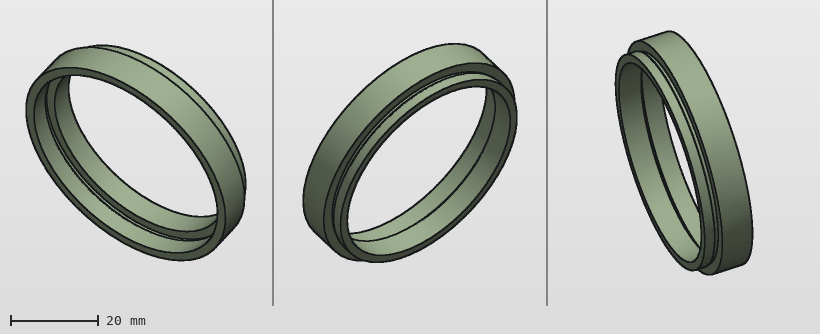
import cadquery as cq

outer_diameter = 56.0
lip_diameter = 51.75
groove_diameter = 51.1
counterbore_diameter = 51.5
relief_diameter = 52.2
bore_diameter = 47.7

total_length = 11.0
body_length = 7.5
lip_length = 2.5
counterbore_depth = 5.5
relief_width = 1.0


def disc(diameter, start, end):
    """Solid cylinder along +Y between two distances from the front face."""
    plane = cq.Workplane("XZ", origin=(0, start, 0))
    return plane.circle(diameter / 2).extrude(start - end)


body = disc(outer_diameter, 0, body_length)
neck = disc(groove_diameter, 0, total_length)
lip = disc(lip_diameter, total_length - lip_length, total_length)

bore = disc(bore_diameter, 0, total_length)
counterbore = disc(counterbore_diameter, 0, counterbore_depth)
relief = disc(relief_diameter, counterbore_depth - relief_width, counterbore_depth)

result = body.union(neck).union(lip).cut(bore).cut(counterbore).cut(relief)